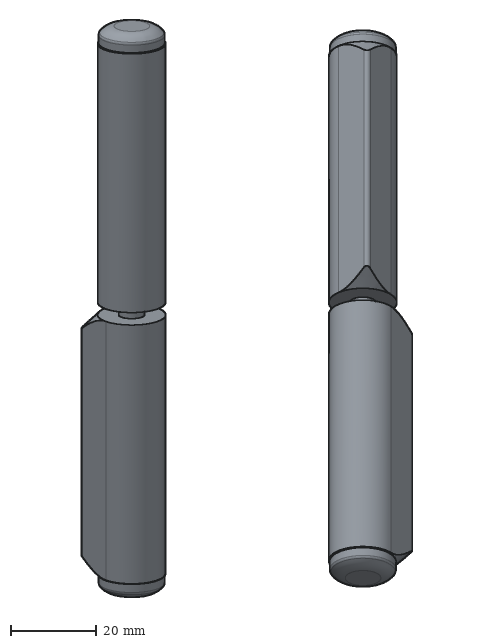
import cadquery as cq
import math

total_length = 139.0
leaf_gap = 3.0
barrel_diameter = 16.0
barrel_radius = barrel_diameter / 2

flank_tilt = math.radians(10.6)
corner_radius = 1.0

cap_length = 4.2
cap_diameter = 15.5
cap_rim_length = 2.0
cap_face_diameter = 8.3
cap_fillet_radius = 1.0

pin_diameter = 6.1
pin_depth = 27.8

leaf_start = leaf_gap / 2
leaf_end = total_length / 2 - cap_length
leaf_length = leaf_end - leaf_start
pin_length = leaf_gap + 2 * pin_depth


def make_corner():
    """Prism filling the corner between the barrel and its two tangent flats."""
    tangent_x = barrel_radius * math.sin(flank_tilt)
    tangent_y = barrel_radius * math.cos(flank_tilt)
    corner_y = (barrel_radius + tangent_x) / math.cos(flank_tilt)
    corner_edge = cq.selectors.NearestToPointSelector((-barrel_radius, corner_y, (leaf_start + leaf_end) / 2))
    return (
        cq.Workplane("XY", origin=(0, 0, leaf_start))
        .moveTo(0, 0)
        .lineTo(-barrel_radius, 0)
        .lineTo(-barrel_radius, corner_y)
        .lineTo(tangent_x, tangent_y)
        .close()
        .extrude(leaf_length)
        .edges(corner_edge)
        .fillet(corner_radius)
    )


def make_leaf_envelope():
    """Spindle with 45 degree conical ends: bevels the corner and lightly chamfers the barrel's cap end."""
    cap_radius = cap_diameter / 2
    peak_rise = (leaf_length + cap_radius - barrel_radius) / 2
    return (
        cq.Workplane("XZ")
        .moveTo(0, leaf_start)
        .lineTo(barrel_radius, leaf_start)
        .lineTo(barrel_radius + peak_rise, leaf_start + peak_rise)
        .lineTo(cap_radius, leaf_end)
        .lineTo(0, leaf_end)
        .close()
        .revolve(360, (0, 0, 0), (0, 1, 0))
    )


def make_cap():
    """Narrower end cap: straight rim, edge fillet, then a dome tangent to the flat end face."""
    cap_radius = cap_diameter / 2
    face_radius = cap_face_diameter / 2
    end_z = total_length / 2
    rim_z = leaf_end + cap_rim_length

    fillet_x = cap_radius - cap_fillet_radius
    centre_offset = fillet_x - face_radius
    rise = end_z - rim_z
    dome_radius = (centre_offset**2 + rise**2 - cap_fillet_radius**2) / (2 * (rise - cap_fillet_radius))
    dome_z = end_z - dome_radius
    tangent_angle = math.atan2(rim_z - dome_z, centre_offset)

    def fillet_point(angle):
        return (
            fillet_x + cap_fillet_radius * math.cos(angle),
            rim_z + cap_fillet_radius * math.sin(angle),
        )

    def dome_point(angle):
        return (
            face_radius + dome_radius * math.cos(angle),
            dome_z + dome_radius * math.sin(angle),
        )

    return (
        cq.Workplane("XZ")
        .moveTo(0, leaf_end)
        .lineTo(cap_radius, leaf_end)
        .lineTo(cap_radius, rim_z)
        .threePointArc(fillet_point(tangent_angle / 2), fillet_point(tangent_angle))
        .threePointArc(dome_point((tangent_angle + math.pi / 2) / 2), (face_radius, end_z))
        .lineTo(0, end_z)
        .close()
        .revolve(360, (0, 0, 0), (0, 1, 0))
    )


def make_leaf():
    """Upper leaf: barrel, bevelled corner and cap, with a blind hole for the pin."""
    barrel = cq.Workplane("XY", origin=(0, 0, leaf_start)).circle(barrel_radius).extrude(leaf_length)
    body = barrel.union(make_corner()).intersect(make_leaf_envelope())
    pin_hole = cq.Workplane("XY", origin=(0, 0, leaf_start)).circle(pin_diameter / 2).extrude(pin_depth)
    return body.union(make_cap()).cut(pin_hole)


def make_pin():
    """Plain pin joining the two leaves."""
    return cq.Workplane("XY", origin=(0, 0, -pin_length / 2)).circle(pin_diameter / 2).extrude(pin_length)


leaves = [make_leaf().rotate((0, 0, 0), (1, 0, 0), turn) for turn in (0, 180)]
pin = make_pin()

result = cq.Compound.makeCompound([*[leaf.val() for leaf in leaves], pin.val()])